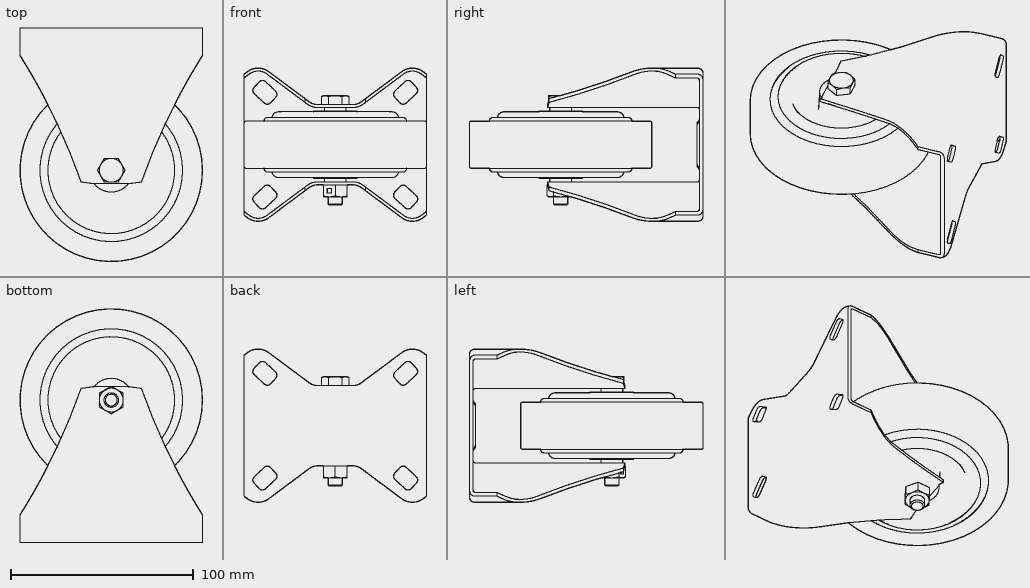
import cadquery as cq
import math


LENGTH = 128.0

PLATE_THICKNESS = 2.0
ARM_THICKNESS = 1.7
FORK_WIDTH = 100.0
FORK_HEIGHT = 84.0
PLATE_Y = LENGTH - FORK_WIDTH / 2
WEB_INNER_Z = 20.4
WEB_OUTER_Z = WEB_INNER_Z + ARM_THICKNESS
FLANK_ANGLE = math.radians(36.7)
CREST_X = 42.2
CREST_RADIUS = 9.7
WEB_BEND_RADIUS = 7.8
PLATE_BEND_RADIUS = 3.0
SIDE_END_Y = 62.8
ARM_CURVE_MID = (30.8, 28.2)
ARM_TIP_CORNER = (16.5, -6.4)
ARM_TIP_FLAT = (9.9, -7.3)
TRIM_MARGIN = 6.4

SLOT_X = 38.5
SLOT_Z = 28.7
SLOT_LENGTH = 12.3
SLOT_WIDTH = 9.0
SLOT_CORNER = 2.4
SLOT_TILT = 43.0
BEAD_X = 39.5
BEAD_LENGTH = 25.1
BEAD_WIDTH = 5.9
BEAD_HEIGHT = 1.4
RING_BEAD_RADIUS = 11.1
RING_BEAD_WIDTH = 4.1
BEAD_FOOT_RADIUS = 1.0

WHEEL_RADIUS = FORK_WIDTH / 2
TREAD_HALF_WIDTH = 12.9
TREAD_ROUND = 1.0
RIM_RADIUS = 39.0
RIM_STEP_Z = 15.0
RIM_STEP_RADIUS = 37.1
LIP_OUTER_RADIUS = 34.7
LIP_INNER_RADIUS = 27.3
LIP_TOP_Z = 18.0
HUB_END_Z = 18.5
FLOOR_Z = 3.1
WALL_FOOT_RADIUS = 22.3
HUB_END_RADIUS = 11.9
HUB_FOOT_RADIUS = 12.7
FLOOR_FILLET = 2.5

BOLT_RADIUS = 4.0
BUSHING_RADIUS = 6.0
HEX_FLATS = 13.0
HEX_CHAMFER_ANGLE = math.radians(30)
HEAD_HEIGHT = 4.9
NUT_HEIGHT = 6.5
BOLT_END_Z = -33.2
BOLT_END_CHAMFER = 0.8
MARK_WIDTH = 2.8
MARK_HEIGHT = 2.3
MARK_DEPTH = 0.3
MARK_Z = -25.2
MARK_DIRECTION = 240

CORNER_REACH = 1.3
FACE_REACH = 0.1


def sheet_prism(inset, back_y, edge_radius):
    """Bow-tie prism along Y, from past the arm tips to back_y, with rounded back edges.

    A positive inset shrinks the whole outline by that distance.
    """
    slope = math.tan(FLANK_ANGLE)
    crest_z = FORK_HEIGHT / 2 + CREST_RADIUS * (1 / math.cos(FLANK_ANGLE) - 1)
    web_x = CREST_X - (crest_z - WEB_OUTER_Z) / slope
    side_x = FORK_WIDTH / 2 + TRIM_MARGIN
    side_z = crest_z - (side_x - CREST_X) * slope
    quarter = [(web_x, WEB_OUTER_Z), (CREST_X, crest_z), (side_x, side_z)]
    corners = (
        quarter
        + [(x, -z) for x, z in reversed(quarter)]
        + [(-x, -z) for x, z in quarter]
        + [(-x, z) for x, z in reversed(quarter)]
    )
    start_y = ARM_TIP_FLAT[1] - TRIM_MARGIN
    length = back_y - start_y
    prism = cq.Workplane("XZ", origin=(0, back_y, 0)).polyline(corners).close().extrude(length)
    for x, radius in ((CREST_X, CREST_RADIUS), (web_x, WEB_BEND_RADIUS)):
        for side in (-x, x):
            bends = cq.selectors.BoxSelector(
                (side - CORNER_REACH, -LENGTH, -FORK_HEIGHT),
                (side + CORNER_REACH, LENGTH, FORK_HEIGHT),
            )
            prism = prism.edges("|Y").edges(bends).fillet(radius)
    if inset:
        outline = prism.faces("<Y").wires().val()
        shrunk = outline.offset2D(-inset)[0]
        prism = cq.Workplane(cq.Solid.extrudeLinear(shrunk, [], cq.Vector(0, length, 0)))
    return prism.faces(">Y").edges().fillet(edge_radius)


def arm_trim():
    """Block with the outline of the fork seen along Z."""
    half = FORK_WIDTH / 2
    curve_x, curve_y = ARM_CURVE_MID
    corner_x, corner_y = ARM_TIP_CORNER
    flat_x, flat_y = ARM_TIP_FLAT
    return (
        cq.Workplane("XY")
        .moveTo(-half, PLATE_Y)
        .lineTo(half, PLATE_Y)
        .lineTo(half, SIDE_END_Y)
        .threePointArc((curve_x, curve_y), (corner_x, corner_y))
        .lineTo(flat_x, flat_y)
        .lineTo(-flat_x, flat_y)
        .lineTo(-corner_x, corner_y)
        .threePointArc((-curve_x, curve_y), (-half, SIDE_END_Y))
        .close()
        .extrude(FORK_HEIGHT, both=True)
    )


def mounting_slots():
    slots = cq.Workplane("XY")
    for side_x in (-1, 1):
        for side_z in (-1, 1):
            slot = (
                cq.Workplane("XY")
                .box(SLOT_LENGTH, 4 * PLATE_THICKNESS, SLOT_WIDTH)
                .edges("|Y")
                .fillet(SLOT_CORNER)
                .rotate((0, 0, 0), (0, 1, 0), -side_x * side_z * SLOT_TILT)
                .translate((side_x * SLOT_X, PLATE_Y, side_z * SLOT_Z))
            )
            slots = slots.add(slot)
    return slots.combine()


def bead_section(plane, center_x, width):
    """Arched bead section standing on the plate; its foot is centred at center_x."""
    return (
        plane.moveTo(center_x - width / 2, 0)
        .threePointArc((center_x, -BEAD_HEIGHT), (center_x + width / 2, 0))
        .close()
    )


def straight_bead(plane):
    """Bead along Z with round ends, centred on the origin of plane."""
    arch_radius = (BEAD_HEIGHT ** 2 + (BEAD_WIDTH / 2) ** 2) / (2 * BEAD_HEIGHT)
    quarter_x = BEAD_WIDTH / 4
    quarter_rise = math.sqrt(arch_radius ** 2 - quarter_x ** 2) - (arch_radius - BEAD_HEIGHT)
    run = BEAD_LENGTH - BEAD_WIDTH
    bead = bead_section(plane, 0, BEAD_WIDTH).extrude(run / 2, both=True)
    dome = (
        plane.lineTo(BEAD_WIDTH / 2, 0)
        .threePointArc((quarter_x, -quarter_rise), (0, -BEAD_HEIGHT))
        .close()
        .revolve(360, (0, 0, 0), (0, 1, 0))
    )
    for end_z in (-run / 2, run / 2):
        bead = bead.union(dome.translate((0, 0, end_z)))
    return bead


def add_beads(fork):
    """Two straight beads and a ring bead, raised from the inner face of the plate."""
    face_y = PLATE_Y - PLATE_THICKNESS
    for bead_x in (-BEAD_X, BEAD_X):
        fork = fork.union(straight_bead(cq.Workplane("XY", origin=(bead_x, face_y, 0))))
    ring_plane = cq.Workplane("XY", origin=(0, face_y, 0))
    ring_section = bead_section(ring_plane, RING_BEAD_RADIUS, RING_BEAD_WIDTH)
    fork = fork.union(ring_section.revolve(360, (0, 0, 0), (0, 1, 0)))
    feet = cq.selectors.BoxSelector(
        (-BEAD_X - BEAD_WIDTH, face_y - FACE_REACH, -BEAD_LENGTH / 2 - CORNER_REACH),
        (BEAD_X + BEAD_WIDTH, face_y + FACE_REACH, BEAD_LENGTH / 2 + CORNER_REACH),
        boundingbox=True,
    )
    return fork.edges(feet).fillet(BEAD_FOOT_RADIUS)


def make_fork():
    outside = sheet_prism(0, PLATE_Y, PLATE_BEND_RADIUS)
    inside = sheet_prism(ARM_THICKNESS, PLATE_Y - PLATE_THICKNESS, PLATE_BEND_RADIUS - ARM_THICKNESS)
    bolt_hole = cq.Workplane("XY").circle(BOLT_RADIUS).extrude(FORK_HEIGHT, both=True)
    fork = outside.cut(inside).intersect(arm_trim())
    fork = fork.cut(bolt_hole).cut(mounting_slots())
    return add_beads(fork)


def make_tyre():
    return (
        cq.Workplane("XY")
        .circle(WHEEL_RADIUS)
        .extrude(2 * TREAD_HALF_WIDTH)
        .translate((0, 0, -TREAD_HALF_WIDTH))
        .edges()
        .fillet(TREAD_ROUND)
        .cut(cq.Workplane("XY").circle(RIM_RADIUS).extrude(WHEEL_RADIUS, both=True))
    )


def make_rim():
    """Rim, disc and hub in one piece: half a section revolved, rounded and mirrored."""
    lip_middle = (LIP_OUTER_RADIUS + LIP_INNER_RADIUS) / 2
    shoulder_mid = (
        RIM_STEP_RADIUS + (RIM_RADIUS - RIM_STEP_RADIUS) * math.sin(math.pi / 4),
        TREAD_HALF_WIDTH + (RIM_STEP_Z - TREAD_HALF_WIDTH) * math.sin(math.pi / 4),
    )
    half = (
        cq.Workplane("XZ")
        .moveTo(BOLT_RADIUS, 0)
        .lineTo(RIM_RADIUS, 0)
        .lineTo(RIM_RADIUS, TREAD_HALF_WIDTH)
        .threePointArc(shoulder_mid, (RIM_STEP_RADIUS, RIM_STEP_Z))
        .lineTo(LIP_OUTER_RADIUS, RIM_STEP_Z)
        .threePointArc((lip_middle, LIP_TOP_Z), (LIP_INNER_RADIUS, RIM_STEP_Z))
        .lineTo(WALL_FOOT_RADIUS, FLOOR_Z)
        .lineTo(HUB_FOOT_RADIUS, FLOOR_Z)
        .lineTo(HUB_END_RADIUS, HUB_END_Z)
        .lineTo(BOLT_RADIUS, HUB_END_Z)
        .close()
        .revolve(360, (0, 0, 0), (0, 1, 0))
    )
    floor = cq.selectors.BoxSelector(
        (-RIM_RADIUS, -RIM_RADIUS, FLOOR_Z - FACE_REACH),
        (RIM_RADIUS, RIM_RADIUS, FLOOR_Z + FACE_REACH),
        boundingbox=True,
    )
    half = half.edges(floor).fillet(FLOOR_FILLET)
    return half.union(half.mirror("XY"))


def make_bushing(side):
    """Spacer tube between a hub end and a fork web; side is +1 above and -1 below."""
    return (
        cq.Workplane("XY", origin=(0, 0, side * HUB_END_Z))
        .circle(BUSHING_RADIUS)
        .circle(BOLT_RADIUS)
        .extrude(side * (WEB_INNER_Z - HUB_END_Z))
    )


def hexagon(height):
    """Hexagonal prism from Z = 0 up, corners along X, with its top corners chamfered."""
    corner_radius = HEX_FLATS / math.sqrt(3)
    prism = cq.Workplane("XY").polygon(6, 2 * corner_radius).extrude(height)
    drop = (corner_radius - HEX_FLATS / 2) * math.tan(HEX_CHAMFER_ANGLE)
    envelope = (
        cq.Workplane("XZ")
        .polyline([
            (0, 0),
            (corner_radius, 0),
            (corner_radius, height - drop),
            (HEX_FLATS / 2, height),
            (0, height),
        ])
        .close()
        .revolve(360, (0, 0, 0), (0, 1, 0))
    )
    return prism.intersect(envelope)


def make_bolt():
    head = hexagon(HEAD_HEIGHT).translate((0, 0, WEB_OUTER_Z))
    shank = (
        cq.Workplane("XY", origin=(0, 0, BOLT_END_Z))
        .circle(BOLT_RADIUS)
        .extrude(WEB_OUTER_Z - BOLT_END_Z)
        .faces("<Z")
        .chamfer(BOLT_END_CHAMFER)
    )
    return head.union(shank)


def make_nut():
    """Nut under the lower web, corners along Y, with a mark on its (-X, -Y) flat."""
    nut = (
        hexagon(NUT_HEIGHT)
        .rotate((0, 0, 0), (1, 0, 0), 180)
        .rotate((0, 0, 0), (0, 0, 1), 90)
        .translate((0, 0, -WEB_OUTER_Z))
    )
    mark = (
        cq.Workplane("XY")
        .box(2 * MARK_DEPTH, MARK_WIDTH, MARK_HEIGHT)
        .translate((HEX_FLATS / 2, 0, MARK_Z))
        .rotate((0, 0, 0), (0, 0, 1), MARK_DIRECTION)
    )
    bore = cq.Workplane("XY").circle(BOLT_RADIUS).extrude(-FORK_HEIGHT)
    return nut.cut(bore).cut(mark)


fork = make_fork()
tyre = make_tyre()
rim = make_rim()
bushings = [make_bushing(side) for side in (1, -1)]
bolt = make_bolt()
nut = make_nut()

result = cq.Compound.makeCompound(
    [
        fork.val(),
        tyre.val(),
        rim.val(),
        *[bushing.val() for bushing in bushings],
        bolt.val(),
        nut.val(),
    ]
)